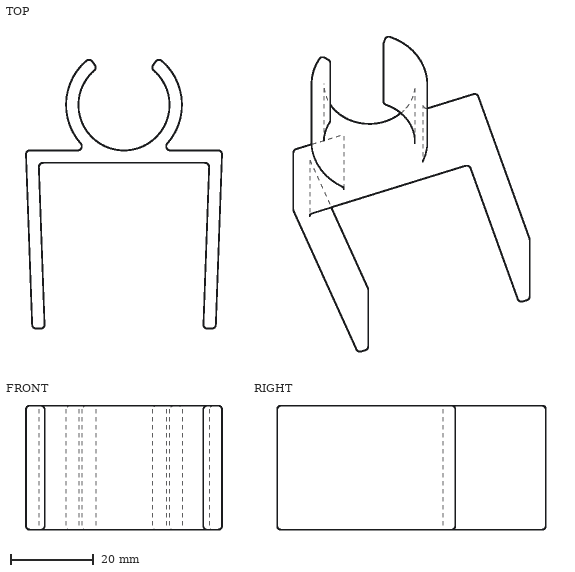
import cadquery as cq
import math

height = 30.0
length = 64.95
plate_width = 47.5
wall = 3.05
leg_reach = 43.05
leg_lean = 1.55
clip_radius = 14.0
mouth_half_angle = 36.1
edge_radius = 1.0

tip_y = -length / 2
plate_back = tip_y + leg_reach
plate_front = plate_back - wall
bore_radius = clip_radius - wall
clip_y = plate_back + bore_radius
bottom_z = -height / 2


def bracket():
    """Plate with two legs that lean towards each other."""
    corner_x = plate_width / 2
    tip_x = corner_x - leg_lean
    lean_at_plate = leg_lean * wall / leg_reach
    outline = [
        (-corner_x, plate_back),
        (-tip_x, tip_y),
        (-tip_x + wall, tip_y),
        (-corner_x + lean_at_plate + wall, plate_front),
        (corner_x - lean_at_plate - wall, plate_front),
        (tip_x - wall, tip_y),
        (tip_x, tip_y),
        (corner_x, plate_back),
    ]
    return cq.Workplane("XY", origin=(0, 0, bottom_z)).polyline(outline).close().extrude(height)


def clip_cylinder(radius):
    return cq.Workplane("XY", origin=(0, clip_y, bottom_z)).circle(radius).extrude(height)


def clip_mouth():
    """Wedge whose sides are radial to the clip ring."""
    depth = 2 * clip_radius
    half_width = depth * math.tan(math.radians(mouth_half_angle))
    outline = [(0, 0), (half_width, depth), (-half_width, depth)]
    return cq.Workplane("XY", origin=(0, clip_y, bottom_z)).polyline(outline).close().extrude(height)


body = bracket().union(clip_cylinder(clip_radius))
body = body.cut(clip_cylinder(bore_radius)).cut(clip_mouth())

body = body.edges("|Z").fillet(edge_radius)
result = body.faces("<Z or >Z").edges().fillet(edge_radius)